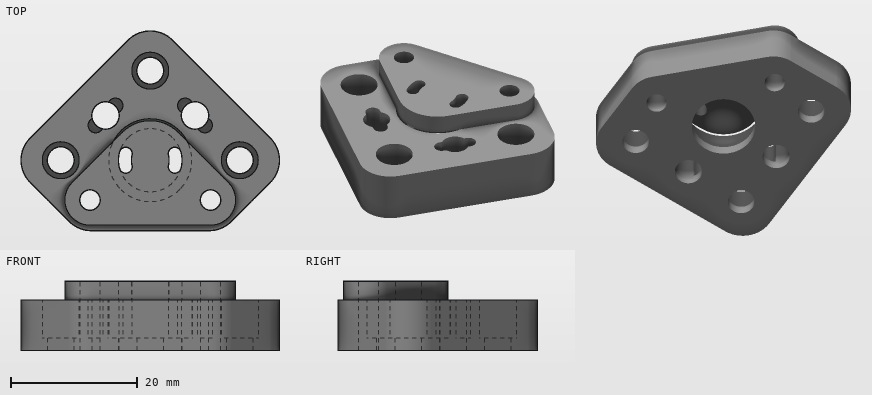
import cadquery as cq
import math

WIDTH = 40.8
DEPTH = 31.55
BASE_HEIGHT = 8.0
PLATE_THICKNESS = 3.0

BASE_CORNER_RADIUS = 5.0
BASE_BACK = WIDTH / 2
BASE_FRONT = BASE_BACK - DEPTH
BASE_APEX = WIDTH / 2 + BASE_CORNER_RADIUS * (math.sqrt(2) - 1)

BORE_DIAMETER = 10.0
BORE_RECESS_DIAMETER = 13.1

MOUNT_OFFSET = 14.12
MOUNT_DIAMETER = 4.2
MOUNT_HEAD_DIAMETER = 5.85

CROSS_OFFSET = MOUNT_OFFSET / 2
CROSS_DIAMETER = 4.3
CROSS_SLOT_LENGTH = 6.78
CROSS_SLOT_WIDTH = 2.35

RECESS_DEPTH = 6.0

SCREW_X = 9.5
SCREW_Y = -6.3
SCREW_DIAMETER = 3.2
PLATE_CORNER_RADIUS = 3.95
PLATE_BACK_RADIUS = 6.25

ARC_SLOT_RADIUS = 4.0
ARC_SLOT_WIDTH = 2.0
ARC_SLOT_HALF_ANGLE = 15

SCREW_POINTS = [(-SCREW_X, SCREW_Y), (SCREW_X, SCREW_Y)]
MOUNT_POINTS = [(-MOUNT_OFFSET, 0), (0, MOUNT_OFFSET), (MOUNT_OFFSET, 0)]


def cylinders(points, diameter, bottom, height):
    """Upright cylinders, used to cut holes."""
    plane = cq.Workplane("XY").workplane(offset=bottom)
    return plane.pushPoints(points).circle(diameter / 2).extrude(height)


def cross_slot(side):
    """Blind slot lying across one of the diagonal holes; side is -1 or 1 along X."""
    return (
        cq.Workplane("XY")
        .workplane(offset=BASE_HEIGHT - RECESS_DEPTH)
        .center(side * CROSS_OFFSET, CROSS_OFFSET)
        .slot2D(CROSS_SLOT_LENGTH, CROSS_SLOT_WIDTH, -side * 45)
        .extrude(RECESS_DEPTH)
    )


def make_base():
    front_half_width = BASE_APEX + BASE_FRONT
    base = (
        cq.Workplane("XY")
        .polyline([
            (0, BASE_APEX),
            (-BASE_APEX, 0),
            (-front_half_width, BASE_FRONT),
            (front_half_width, BASE_FRONT),
            (BASE_APEX, 0),
        ])
        .close()
        .extrude(BASE_HEIGHT)
        .edges("|Z")
        .fillet(BASE_CORNER_RADIUS)
    )
    recess_floor = BASE_HEIGHT - RECESS_DEPTH

    base = base.cut(cylinders([(0, 0)], BORE_DIAMETER, 0, BASE_HEIGHT))
    base = base.cut(cylinders([(0, 0)], BORE_RECESS_DIAMETER, recess_floor, RECESS_DEPTH))

    base = base.cut(cylinders(MOUNT_POINTS, MOUNT_DIAMETER, 0, BASE_HEIGHT))
    base = base.cut(cylinders(MOUNT_POINTS, MOUNT_HEAD_DIAMETER, recess_floor, RECESS_DEPTH))

    for side in (-1, 1):
        hole_point = (side * CROSS_OFFSET, CROSS_OFFSET)
        base = base.cut(cylinders([hole_point], CROSS_DIAMETER, 0, BASE_HEIGHT))
        base = base.cut(cross_slot(side))

    return base.cut(cylinders(SCREW_POINTS, SCREW_DIAMETER, 0, BASE_HEIGHT))


def arc_slot(middle_angle):
    """Curved slot with round ends, centred on the given angle in degrees."""
    def point(radius, angle):
        radians = math.radians(middle_angle + angle)
        return (radius * math.cos(radians), radius * math.sin(radians))

    inner = ARC_SLOT_RADIUS - ARC_SLOT_WIDTH / 2
    outer = ARC_SLOT_RADIUS + ARC_SLOT_WIDTH / 2
    end = ARC_SLOT_HALF_ANGLE
    slot = (
        cq.Workplane("XY")
        .workplane(offset=BASE_HEIGHT)
        .moveTo(*point(outer, -end))
        .threePointArc(point(outer, 0), point(outer, end))
        .lineTo(*point(inner, end))
        .threePointArc(point(inner, 0), point(inner, -end))
        .close()
        .extrude(PLATE_THICKNESS)
    )
    end_points = [point(ARC_SLOT_RADIUS, -end), point(ARC_SLOT_RADIUS, end)]
    return slot.union(cylinders(end_points, ARC_SLOT_WIDTH, BASE_HEIGHT, PLATE_THICKNESS))


def make_plate():
    front = SCREW_Y - PLATE_CORNER_RADIUS
    apex = SCREW_X + SCREW_Y + PLATE_CORNER_RADIUS * math.sqrt(2)
    half_width = apex - front
    plate = (
        cq.Workplane("XY")
        .workplane(offset=BASE_HEIGHT)
        .polyline([(-half_width, front), (half_width, front), (0, apex)])
        .close()
        .extrude(PLATE_THICKNESS)
    )
    plate = plate.edges("|Z and <Y").fillet(PLATE_CORNER_RADIUS)
    plate = plate.edges("|Z and >Y").fillet(PLATE_BACK_RADIUS)

    plate = plate.cut(cylinders(SCREW_POINTS, SCREW_DIAMETER, BASE_HEIGHT, PLATE_THICKNESS))
    for middle_angle in (0, 180):
        plate = plate.cut(arc_slot(middle_angle))
    return plate


base = make_base()
plate = make_plate()
result = cq.Compound.makeCompound([base.val(), plate.val()])